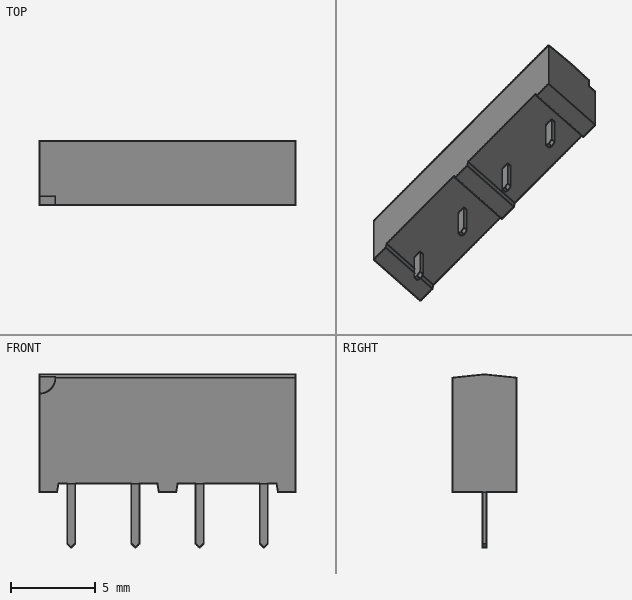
import cadquery as cq

body_length = 15.2
body_width = 3.81
body_height = 7.0
roof_rise = 0.2
shoulder_height = body_height - roof_rise

relief_height = 0.5
foot_length = 1.05
foot_flare = 0.08

mark_radius = 0.95
mark_depth = 0.52

pin_count = 4
pin_pitch = 3.81
pin_width = 0.5
pin_thickness = 0.25
pin_reach = 3.3
pin_tip_height = pin_width / 2


def make_body():
    """Block with a shallow gable roof whose ridge runs along X."""
    half_width = body_width / 2
    profile = [
        (-half_width, 0),
        (half_width, 0),
        (half_width, shoulder_height),
        (0, body_height),
        (-half_width, shoulder_height),
    ]
    block = cq.Workplane("YZ").polyline(profile).close().extrude(body_length)
    return block.translate((-body_length / 2, 0, 0))


def make_relief(side):
    """Tapered channel through the full width; side is -1 or +1 along X."""
    inner = foot_length / 2
    outer = body_length / 2 - foot_length
    profile = [
        (side * inner, 0),
        (side * outer, 0),
        (side * (outer - foot_flare), relief_height),
        (side * (inner + foot_flare), relief_height),
    ]
    channel = cq.Workplane("XZ").polyline(profile).close()
    return channel.extrude(body_width / 2, both=True)


def make_mark():
    """Cylinder about the shoulder corner, sunk into the front face."""
    front_plane = cq.Workplane("XZ", origin=(0, -body_width / 2, 0))
    circle = front_plane.center(-body_length / 2, shoulder_height).circle(mark_radius)
    return circle.extrude(-mark_depth)


def make_pin(x):
    """Flat pin with a pointed end, hanging from the relief ceiling."""
    half_width = pin_width / 2
    shank_end = pin_tip_height - pin_reach
    profile = [
        (x - half_width, relief_height),
        (x - half_width, shank_end),
        (x, -pin_reach),
        (x + half_width, shank_end),
        (x + half_width, relief_height),
    ]
    pin = cq.Workplane("XZ").polyline(profile).close()
    return pin.extrude(pin_thickness / 2, both=True)


result = make_body().cut(make_mark())
for channel_side in (-1, 1):
    result = result.cut(make_relief(channel_side))
for index in range(pin_count):
    pin_x = (index - (pin_count - 1) / 2) * pin_pitch
    result = result.union(make_pin(pin_x))